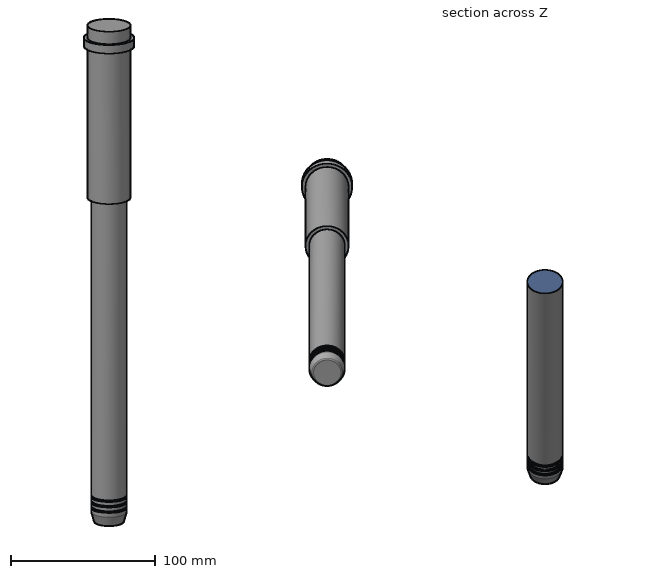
import cadquery as cq

total_height = 360.0
shaft_diameter = 25.0
sleeve_diameter = 30.0
sleeve_length = 125.0

collar_diameter = 35.0
collar_height = 6.0
collar_setback = 9.0

nose_height = 7.5
nose_end_diameter = 20.5
nose_edge_radius = 1.0

groove_count = 3
groove_pitch = 4.0
groove_width = 1.0
groove_depth = 0.7
first_groove_bottom = 10.5


def cylinder(diameter, bottom, height):
    """Solid cylinder on the Z axis."""
    return cq.Workplane("XY").workplane(offset=bottom).circle(diameter / 2).extrude(height)


def ring_groove(bottom):
    """Ring to be cut from the shaft surface."""
    root_diameter = shaft_diameter - 2 * groove_depth
    outer = cylinder(collar_diameter, bottom, groove_width)
    return outer.cut(cylinder(root_diameter, bottom, groove_width))


nose = (
    cq.Workplane("XY")
    .circle(nose_end_diameter / 2)
    .workplane(offset=nose_height)
    .circle(shaft_diameter / 2)
    .loft(ruled=True)
    .faces("<Z")
    .edges()
    .fillet(nose_edge_radius)
)

sleeve_bottom = total_height - sleeve_length
collar_bottom = total_height - collar_setback - collar_height
shaft = cylinder(shaft_diameter, nose_height, sleeve_bottom - nose_height)
sleeve = cylinder(sleeve_diameter, sleeve_bottom, sleeve_length)
collar = cylinder(collar_diameter, collar_bottom, collar_height)
result = nose.union(shaft).union(sleeve).union(collar)

for index in range(groove_count):
    result = result.cut(ring_groove(first_groove_bottom + index * groove_pitch))